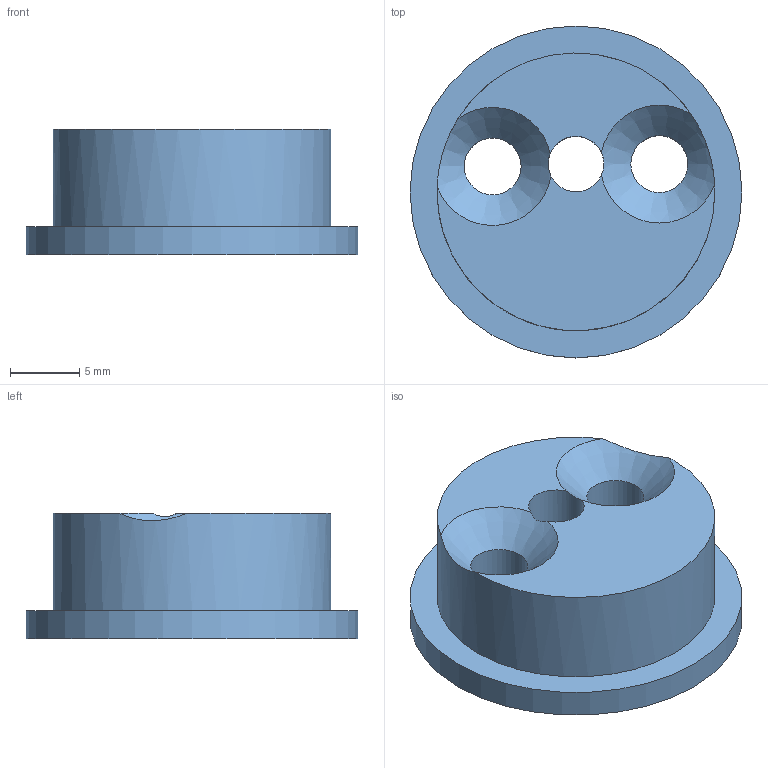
import cadquery as cq

flange_diameter = 23.9
flange_thickness = 2.0
body_diameter = 20.0
total_height = 9.0

center_hole_diameter = 4.0
center_hole_position = (0.0, 2.0)
screw_hole_diameter = 4.1
left_screw_position = (-6.0, 1.83)
right_screw_position = (6.0, 2.0)

countersink_diameter = 8.5
countersink_angle = 90.0


def plug_body():
    """Round body standing on a wider flange, with its base at Z = 0."""
    flange = cq.Workplane("XY").circle(flange_diameter / 2).extrude(flange_thickness)
    body = cq.Workplane("XY").circle(body_diameter / 2).extrude(total_height)
    return flange.union(body)


def top_plane(part, position):
    """Workplane on the top of the body, centred on a hole position."""
    return part.faces(">Z").workplane(origin=(*position, total_height))


def cut_center_hole(part):
    """Plain through hole between the two screw holes."""
    return top_plane(part, center_hole_position).hole(center_hole_diameter)


def cut_screw_hole(part, position):
    """Countersunk through hole whose cone breaks out of the body's side."""
    return top_plane(part, position).cskHole(screw_hole_diameter, countersink_diameter, countersink_angle)


result = cut_center_hole(plug_body())
for screw_position in (left_screw_position, right_screw_position):
    result = cut_screw_hole(result, screw_position)